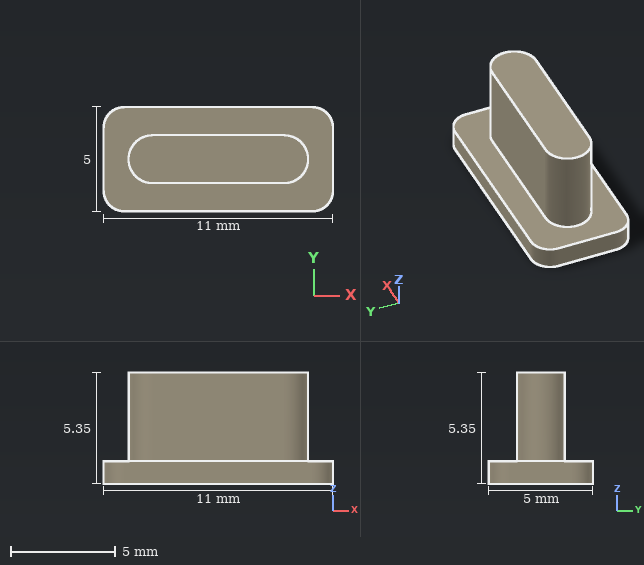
import cadquery as cq

plate_length = 11.0
plate_width = 5.0
plate_thickness = 1.1
plate_corner_radius = 1.0

plug_length = 8.6
plug_width = 2.3
total_height = 5.35
plug_height = total_height - plate_thickness

plate = (
    cq.Workplane("XY")
    .rect(plate_length, plate_width)
    .extrude(plate_thickness)
    .edges("|Z")
    .fillet(plate_corner_radius)
)

plug = (
    cq.Workplane("XY")
    .workplane(offset=plate_thickness)
    .slot2D(plug_length, plug_width)
    .extrude(plug_height)
)

result = plate.union(plug)